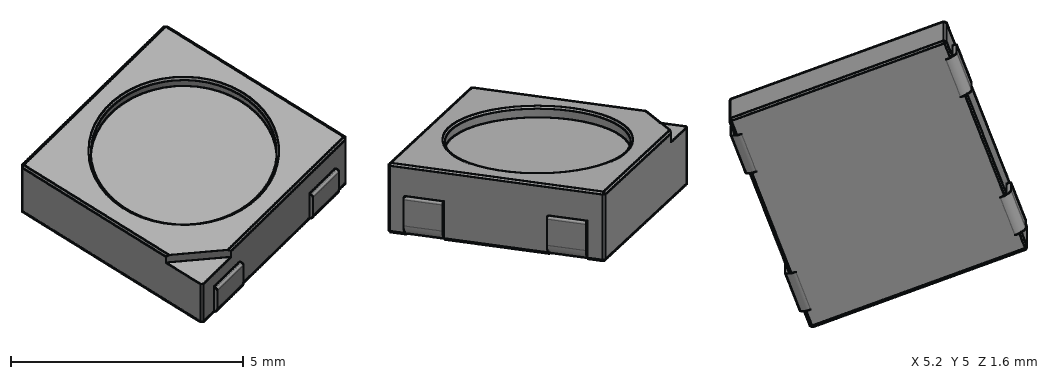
import cadquery as cq

body_side = 5.0
body_height = 1.6
edge_chamfer = 0.05

window_diameter = 4.0
window_depth = 0.25
window_chamfer = 0.05

mark_leg = 1.0
mark_depth = 0.25

terminal_span = 5.2
terminal_width = 0.9
terminal_height = 0.9
terminal_pitch = 3.3
terminal_bend_radius = 0.25
terminal_top_radius = 0.05

half_side = body_side / 2
half_span = terminal_span / 2
terminal_inner_x = half_span - terminal_bend_radius


def make_housing():
    """Square block with every outer edge chamfered."""
    block = cq.Workplane("XY").box(
        body_side, body_side, body_height, centered=(True, True, False)
    )
    return block.edges().chamfer(edge_chamfer)


def make_window():
    """Cutter for the round recess and its chamfered rim."""
    radius = window_diameter / 2
    floor_z = body_height - window_depth
    return (
        cq.Workplane("XZ")
        .moveTo(0, floor_z)
        .lineTo(radius, floor_z)
        .lineTo(radius, body_height - window_chamfer)
        .lineTo(radius + window_chamfer, body_height)
        .lineTo(0, body_height)
        .close()
        .revolve(360, (0, 0, 0), (0, 1, 0))
    )


def make_corner_mark():
    """Cutter for the triangular step at the +X, -Y corner."""
    return (
        cq.Workplane("XY")
        .workplane(offset=body_height - mark_depth)
        .moveTo(half_side, -half_side)
        .lineTo(half_side, -half_side + mark_leg)
        .lineTo(half_side - mark_leg, -half_side)
        .close()
        .extrude(mark_depth)
    )


def make_terminal_slot(center_y):
    """Cutter that clears the +X side of the housing where a terminal sits."""
    return cq.Workplane("XY").box(
        terminal_bend_radius, terminal_width, terminal_height, centered=(False, True, False)
    ).translate((terminal_inner_x, center_y, 0))


def make_terminal(center_y):
    """Terminal on the +X side, rounded at its top and where it bends under."""
    return (
        cq.Workplane("XZ", origin=(0, center_y + terminal_width / 2, 0))
        .moveTo(terminal_inner_x, 0)
        .radiusArc((half_span, terminal_bend_radius), -terminal_bend_radius)
        .lineTo(half_span, terminal_height - terminal_top_radius)
        .radiusArc((half_span - terminal_top_radius, terminal_height), -terminal_top_radius)
        .lineTo(terminal_inner_x, terminal_height)
        .close()
        .extrude(terminal_width)
    )


result = make_housing().cut(make_window()).cut(make_corner_mark())

for row in (-1, 1):
    row_y = row * terminal_pitch / 2
    slot = make_terminal_slot(row_y)
    terminal = make_terminal(row_y)
    result = result.cut(slot).cut(slot.mirror("YZ"))
    result = result.union(terminal).union(terminal.mirror("YZ"))